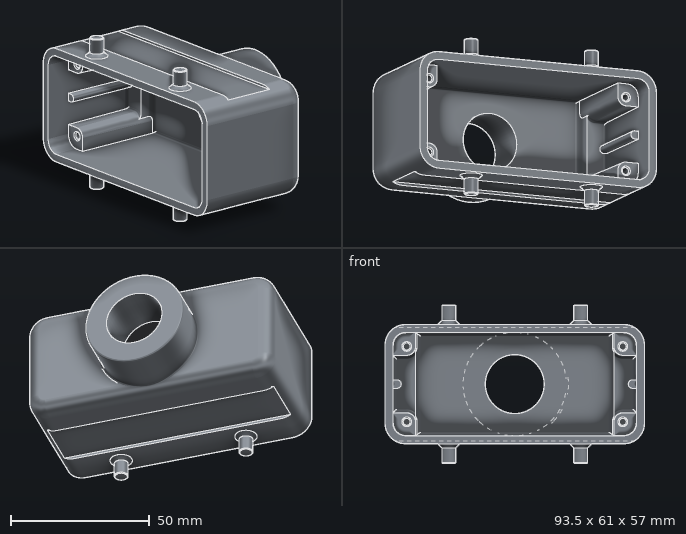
import cadquery as cq
import math

length = 93.5
height = 43.0
depth = 45.0
corner_radius = 7.5
back_round = 5.0
wall = 2.9

neck_diameter = 37.2
neck_length = 16.0
neck_edge_fillet = 0.75
neck_root_fillet = 0.75
bore_diameter = 21.1

floor_y = 42.1
cavity_draft = 0.6
cavity_fillet = 1.0
shoulder_y = 36.5
shoulder_foot_fillet = 2.1

insert_y = 9.35
screw_x = 38.9
screw_z = 13.6
screw_diameter = 2.5
screw_depth = 11.2
screw_chamfer = 0.5
post_corner_radius = 3.2
post_draft = 1.0
end_block_x = screw_x - post_corner_radius
post_inner_z = screw_z - post_corner_radius
rib_radius = 1.5
rib_center_x = 42.4

label_near_y = 12.9
label_far_y = 31.9
label_depth = 1.0

pin_x = 23.75
pin_y = 6.2
pin_radius = 2.5
pin_tip_z = 28.5
pin_tip_chamfer = 0.3
collar_height = 1.4
collar_radius = 4.0
pin_root_z = (height - wall) / 2


def facing_back(y):
    """Workplane at the given y that extrudes towards +Y; its local axes are X and -Z."""
    return cq.Workplane(cq.Plane(origin=(0, y, 0), xDir=(1, 0, 0), normal=(0, 1, 0)))


def mirrored_to_four(quarter):
    """The solid together with its mirror images across the YZ and XY planes."""
    half = quarter.union(quarter.mirror("YZ"))
    return half.union(half.mirror("XY"))


def make_shell():
    body = facing_back(0).rect(length, height).extrude(depth)
    body = body.edges("|Y").fillet(corner_radius)
    return body.faces(">Y").edges().fillet(back_round)


def add_neck(body):
    neck_base_y = depth - back_round
    neck = facing_back(neck_base_y).circle(neck_diameter / 2).extrude(neck_length + back_round)
    neck = neck.faces(">Y").edges().fillet(neck_edge_fillet)
    joined = body.union(neck)
    reach = neck_diameter / 2 + neck_root_fillet
    root_zone = cq.selectors.BoxSelector(
        (-reach, neck_base_y, -reach),
        (reach, depth + neck_root_fillet, reach),
        boundingbox=True,
    )
    return joined.edges(root_zone).fillet(neck_root_fillet)


def make_post():
    """Drafted post filling the +X, -Z corner, widening towards the floor."""
    post_side = height / 2
    center_x = end_block_x + post_side / 2
    center_z = post_inner_z + post_side / 2
    outline = cq.Sketch().rect(post_side, post_side).vertices().fillet(post_corner_radius)
    post = facing_back(insert_y).center(center_x, center_z).placeSketch(outline)
    return post.extrude(floor_y - insert_y, taper=-post_draft)


def make_shoulder():
    """Block across the +X end of the cavity, with a hollow round at its foot."""
    arc_center_x = end_block_x - shoulder_foot_fillet
    arc_center_y = floor_y - shoulder_foot_fillet
    arc_reach = shoulder_foot_fillet * math.sqrt(0.5)
    profile = cq.Workplane("XY").moveTo(end_block_x, shoulder_y).lineTo(end_block_x, arc_center_y)
    profile = profile.threePointArc(
        (arc_center_x + arc_reach, arc_center_y + arc_reach),
        (arc_center_x, floor_y),
    )
    profile = profile.lineTo(length / 2, floor_y).lineTo(length / 2, shoulder_y).close()
    return profile.extrude(height / 2, both=True)


def make_rib():
    """Half-round rib down the middle of the +X end wall."""
    rib_end_x = length / 2 - wall / 2
    rib = facing_back(insert_y).center(rib_center_x, 0).circle(rib_radius).extrude(floor_y - insert_y)
    web = facing_back(insert_y).center((rib_center_x + rib_end_x) / 2, 0)
    web = web.rect(rib_end_x - rib_center_x, 2 * rib_radius).extrude(floor_y - insert_y)
    return rib.union(web)


def make_screw_hole():
    hole = facing_back(insert_y).center(screw_x, screw_z).circle(screw_diameter / 2).extrude(screw_depth)
    mouth = facing_back(insert_y).center(screw_x, screw_z).circle(screw_diameter / 2 + screw_chamfer)
    return hole.union(mouth.extrude(screw_chamfer, taper=45))


def shoulder_root(side):
    """Edges around one shoulder, leaving out its free inner edge."""
    margin = 0.1
    near_x = side * (end_block_x + margin)
    far_x = side * length / 2
    return cq.selectors.BoxSelector(
        (near_x, shoulder_y - margin, -height / 2),
        (far_x, shoulder_y + margin, height / 2),
    )


def make_cavity():
    outline = cq.Sketch().rect(length - 2 * wall, height - 2 * wall)
    outline = outline.vertices().fillet(corner_radius - wall)
    cavity = facing_back(0).placeSketch(outline).extrude(floor_y, taper=cavity_draft)
    cavity = cavity.faces(">Y").edges().fillet(cavity_fillet)
    shoulder = make_shoulder()
    cavity = cavity.cut(shoulder).cut(shoulder.mirror("YZ"))
    cavity = cavity.cut(mirrored_to_four(make_post()))
    cavity = cavity.edges(shoulder_root(1)).fillet(cavity_fillet)
    cavity = cavity.edges(shoulder_root(-1)).fillet(cavity_fillet)
    rib = make_rib()
    return cavity.cut(rib).cut(rib.mirror("YZ"))


def make_label_recess():
    recess_y = (label_near_y + label_far_y) / 2
    box = cq.Workplane("XY").box(length, label_far_y - label_near_y, label_depth)
    return box.translate((0, recess_y, (height - label_depth) / 2))


def make_pin():
    profile = [
        (0, pin_root_z),
        (collar_radius, pin_root_z),
        (collar_radius, height / 2),
        (pin_radius, height / 2 + collar_height),
        (pin_radius, pin_tip_z - pin_tip_chamfer),
        (pin_radius - pin_tip_chamfer, pin_tip_z),
        (0, pin_tip_z),
    ]
    pin = cq.Workplane("XZ").polyline(profile).close().revolve(360, (0, 0), (0, 1))
    return pin.translate((pin_x, pin_y, 0))


recess = make_label_recess()
bore = facing_back(0).circle(bore_diameter / 2).extrude(depth + neck_length)

result = add_neck(make_shell())
result = result.cut(make_cavity()).cut(bore)
result = result.cut(mirrored_to_four(make_screw_hole()))
result = result.cut(recess).cut(recess.mirror("XY"))
result = result.union(mirrored_to_four(make_pin()))